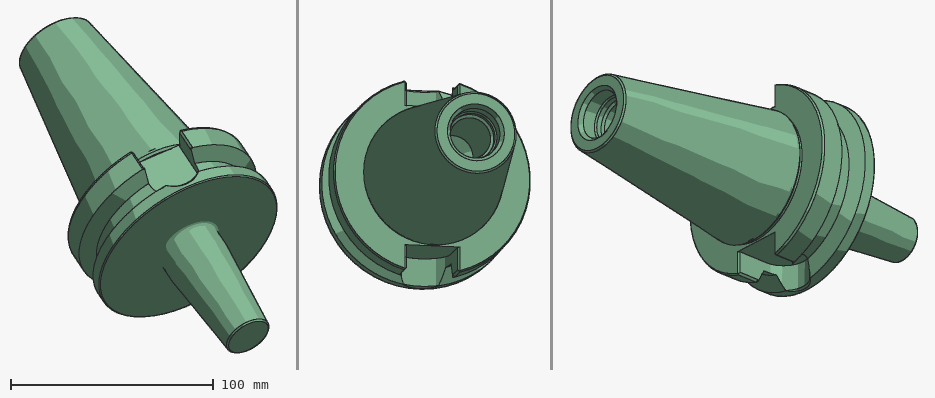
import cadquery as cq
import math

taper_end = 101.3
flange_front = 105.0
groove_start = 117.5
groove_floor_start = 121.7
groove_floor_end = 128.7
groove_end = 132.5
flange_back = 139.2
nose_cone_start = 150.7
total_length = 201.8

taper_small_radius = 20.4
taper_slope = 7 / 48
taper_large_radius = taper_small_radius + taper_slope * taper_end
neck_radius = 34.1
neck_step = 1.2
flange_radius = 99.9 / 2
front_land_radius = 99.3 / 2
groove_radius = 42.2
nose_radius = 16.1
nose_tip_radius = 12.0

small_end_chamfer = 0.8
flange_front_chamfer_length = 1.2
flange_front_chamfer_depth = 0.6
flange_back_chamfer = 0.6
nose_root_fillet = 2.5
nose_tip_chamfer = 0.8

slot_width = 25.8
slot_floor = 35.1
slot_end_center = 123.0
slot_chamfer = 1.0
slot_rim_chamfer = 1.5

bore_mouth_radius = 14.3
bore_pilot_radius = 12.5
bore_thread_radius = 11.7
bore_core_radius = 10.3
bore_mouth_depth = 2.0
bore_pilot_depth = 9.3
bore_thread_start = 10.0
bore_thread_depth = 13.0
bore_core_start = 14.0
bore_depth = 56.5
drill_half_angle = math.radians(59)


def make_body():
    """Turn the taper, grooved flange and nose about the X axis."""
    root_start = flange_back + nose_root_fillet
    root_middle = nose_root_fillet * (1 - math.sqrt(0.5))
    profile = (
        cq.Workplane("XY")
        .lineTo(0, taper_small_radius - small_end_chamfer)
        .lineTo(small_end_chamfer, taper_small_radius + taper_slope * small_end_chamfer)
        .lineTo(taper_end, taper_large_radius)
        .lineTo(taper_end + neck_step, taper_large_radius)
        .lineTo(taper_end + 2 * neck_step, neck_radius)
        .lineTo(flange_front, neck_radius)
        .lineTo(flange_front, front_land_radius - flange_front_chamfer_depth)
        .lineTo(flange_front + flange_front_chamfer_length, front_land_radius)
        .lineTo(groove_start, front_land_radius)
        .lineTo(groove_floor_start, groove_radius)
        .lineTo(groove_floor_end, groove_radius)
        .lineTo(groove_end, flange_radius)
        .lineTo(flange_back - flange_back_chamfer, flange_radius)
        .lineTo(flange_back, flange_radius - flange_back_chamfer)
        .lineTo(flange_back, nose_radius + nose_root_fillet)
        .threePointArc(
            (flange_back + root_middle, nose_radius + root_middle), (root_start, nose_radius)
        )
        .lineTo(nose_cone_start, nose_radius)
        .lineTo(total_length - nose_tip_chamfer, nose_tip_radius)
        .lineTo(total_length, nose_tip_radius - nose_tip_chamfer)
        .lineTo(total_length, 0)
        .close()
    )
    return profile.revolve(360, (0, 0, 0), (1, 0, 0))


def make_bore():
    """Stepped blind bore with a conical drill point."""
    drill_tip = bore_depth + bore_core_radius / math.tan(drill_half_angle)
    profile = (
        cq.Workplane("XY")
        .lineTo(0, bore_mouth_radius)
        .lineTo(bore_mouth_depth, bore_pilot_radius)
        .lineTo(bore_pilot_depth, bore_pilot_radius)
        .lineTo(bore_thread_start, bore_thread_radius)
        .lineTo(bore_thread_depth, bore_thread_radius)
        .lineTo(bore_core_start, bore_core_radius)
        .lineTo(bore_depth, bore_core_radius)
        .lineTo(drill_tip, 0)
        .close()
    )
    return profile.revolve(360, (0, 0, 0), (1, 0, 0))


def make_slot():
    """Round-ended drive slot on +Z, open toward the taper."""
    half_width = slot_width / 2
    return (
        cq.Workplane("XY", origin=(0, 0, slot_floor))
        .moveTo(taper_end, -half_width)
        .lineTo(slot_end_center, -half_width)
        .threePointArc((slot_end_center + half_width, 0), (slot_end_center, half_width))
        .lineTo(taper_end, half_width)
        .close()
        .extrude(flange_radius)
    )


def make_slot_mouth_chamfer():
    """Wedge that bevels both slot walls where they meet the flange face."""
    half_width = slot_width / 2
    return (
        cq.Workplane("XY", origin=(0, 0, slot_floor))
        .moveTo(flange_front, -half_width - slot_chamfer)
        .lineTo(flange_front + slot_chamfer, -half_width)
        .lineTo(flange_front + slot_chamfer, half_width)
        .lineTo(flange_front, half_width + slot_chamfer)
        .close()
        .extrude(flange_radius)
    )


def make_slot_rim_chamfer():
    """Flared cutter that bevels the slot edges on the outside of the flange."""
    half_width = slot_width / 2
    rim_height = math.sqrt(front_land_radius**2 - half_width**2)
    flare_height = front_land_radius - rim_height + slot_rim_chamfer
    flare_width = half_width + flare_height
    bevel = (
        cq.Workplane("YZ", origin=(flange_front, 0, 0))
        .moveTo(-half_width, rim_height - slot_rim_chamfer)
        .lineTo(half_width, rim_height - slot_rim_chamfer)
        .lineTo(flare_width, front_land_radius)
        .lineTo(-flare_width, front_land_radius)
        .close()
        .extrude(groove_start - flange_front)
    )
    end_bevel = cq.Workplane(
        cq.Solid.makeCone(
            half_width,
            half_width + slot_chamfer,
            slot_chamfer,
            cq.Vector(slot_end_center, 0, flange_radius - slot_chamfer),
            cq.Vector(0, 0, 1),
        )
    )
    return bevel.union(end_bevel)


slot_cutter = make_slot().union(make_slot_mouth_chamfer()).union(make_slot_rim_chamfer())
result = make_body().cut(make_bore())
for angle in (0, 180):
    result = result.cut(slot_cutter.rotate((0, 0, 0), (1, 0, 0), angle))